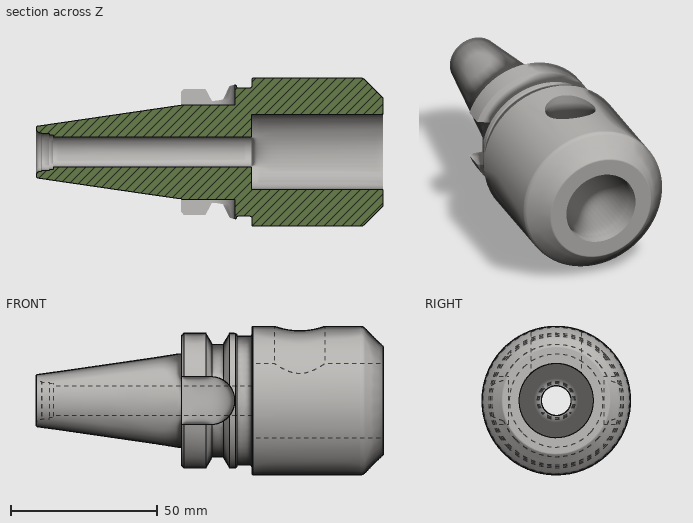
import cadquery as cq
import math

total_length = 118.6
flange_start = 49.6
flange_end = 68.6
body_start = 73.7

taper_end = 48.6
taper_big_radius = 31.9 / 2
taper_half_slope = 3.5 / 24
tip_rounding = 0.7

flange_radius = 23.0
flange_front_chamfer = 1.0
flange_rear_chamfer = 0.5
groove_radius = 19.2
groove_floor_start = 60.2
groove_floor_end = 64.0
groove_flank_angle = 30.0

neck_radius = 44.0 / 2
neck_fillet = 0.6
flange_fillet = 0.4
body_radius = 50.8 / 2
body_rear_chamfer = 0.4
nose_chamfer = 7.0
nose_blend_radius = 2.0
nose_edge_radius = 0.7

slot_width = 16.4
slot_floor_offset = 16.3
slot_end = 67.9

through_radius = 10.1 / 2
pilot_radius = 12.5 / 2
pilot_depth = 4.5
inner_step_radius = 5.8
inner_step_depth = 5.9
mouth_radius = 13.0 / 2
mouth_depth = 1.8
mouth_rounding = 1.4
shank_bore_radius = 25.4 / 2
screw_hole_radius = 17.3 / 2
screw_hole_x = 90.0


def cylinder(start, end, radius):
    """Cylinder on the X axis."""
    return cq.Workplane("YZ").workplane(offset=start).circle(radius).extrude(end - start)


def make_taper():
    """Tapered shank with a rounded tip and a short straight collar."""
    tip_radius = taper_big_radius - taper_end * taper_half_slope
    shoulder_radius = tip_radius + tip_rounding * taper_half_slope
    return (
        cq.Workplane("XY")
        .moveTo(0, 0)
        .lineTo(0, shoulder_radius - tip_rounding)
        .radiusArc((tip_rounding, shoulder_radius), tip_rounding)
        .lineTo(taper_end, taper_big_radius)
        .lineTo(flange_start, taper_big_radius)
        .lineTo(flange_start, 0)
        .close()
        .revolve(360, (0, 0, 0), (1, 0, 0))
    )


def make_flange():
    """Flange turned with a V-groove around its rim."""
    flank_run = (flange_radius - groove_radius) * math.tan(math.radians(groove_flank_angle))
    return (
        cq.Workplane("XY")
        .moveTo(flange_start, 0)
        .lineTo(flange_start, flange_radius - flange_front_chamfer)
        .lineTo(flange_start + flange_front_chamfer, flange_radius)
        .lineTo(groove_floor_start - flank_run, flange_radius)
        .lineTo(groove_floor_start, groove_radius)
        .lineTo(groove_floor_end, groove_radius)
        .lineTo(groove_floor_end + flank_run, flange_radius)
        .lineTo(flange_end - flange_rear_chamfer, flange_radius)
        .lineTo(flange_end, flange_radius - flange_rear_chamfer)
        .lineTo(flange_end, 0)
        .close()
        .revolve(360, (0, 0, 0), (1, 0, 0))
    )


def make_neck():
    """Neck joined to the flange and the body by fillets."""
    return (
        cq.Workplane("XY")
        .moveTo(flange_end, 0)
        .lineTo(flange_end, neck_radius + flange_fillet)
        .radiusArc((flange_end + flange_fillet, neck_radius), -flange_fillet)
        .lineTo(body_start - neck_fillet, neck_radius)
        .radiusArc((body_start, neck_radius + neck_fillet), -neck_fillet)
        .lineTo(body_start, 0)
        .close()
        .revolve(360, (0, 0, 0), (1, 0, 0))
    )


def make_body():
    """Body with a broken rear edge and a rounded 45-degree nose."""
    body = cylinder(body_start, total_length, body_radius)
    body = body.faces("<X").chamfer(body_rear_chamfer)
    body = body.faces(">X").chamfer(nose_chamfer)
    nose_corner_x = total_length - nose_chamfer
    nose_blend_edge = cq.selectors.BoxSelector(
        (nose_corner_x - nose_edge_radius, -2 * body_radius, -2 * body_radius),
        (nose_corner_x + nose_edge_radius, 2 * body_radius, 2 * body_radius),
        boundingbox=True,
    )
    body = body.edges(nose_blend_edge).fillet(nose_blend_radius)
    return body.faces(">X").edges().fillet(nose_edge_radius)


def make_drive_slot(side):
    """Round-ended slot cutter on the +Y (side = 1) or -Y (side = -1) flank."""
    end_radius = slot_width / 2
    end_centre = slot_end - end_radius
    return (
        cq.Workplane("XZ", origin=(0, side * slot_floor_offset, 0))
        .moveTo(flange_start, -end_radius)
        .lineTo(end_centre, -end_radius)
        .threePointArc((slot_end, 0), (end_centre, end_radius))
        .lineTo(flange_start, end_radius)
        .close()
        .extrude(-side * body_radius)
    )


def make_bores():
    """Stepped axial bore: rounded mouth and pilot at the taper tip, shank bore in the body."""
    return (
        cq.Workplane("XY")
        .moveTo(0, 0)
        .lineTo(0, mouth_radius + mouth_rounding)
        .radiusArc((mouth_rounding, mouth_radius), -mouth_rounding)
        .lineTo(mouth_depth, mouth_radius)
        .lineTo(mouth_depth + mouth_radius - pilot_radius, pilot_radius)
        .lineTo(pilot_depth, pilot_radius)
        .lineTo(pilot_depth, inner_step_radius)
        .lineTo(inner_step_depth, inner_step_radius)
        .lineTo(inner_step_depth, through_radius)
        .lineTo(body_start, through_radius)
        .lineTo(body_start, shank_bore_radius)
        .lineTo(total_length, shank_bore_radius)
        .lineTo(total_length, 0)
        .close()
        .revolve(360, (0, 0, 0), (1, 0, 0))
    )


def make_screw_hole():
    """Clamp screw hole from the top of the body into the shank bore."""
    return cq.Workplane("XY").center(screw_hole_x, 0).circle(screw_hole_radius).extrude(body_radius)


result = make_taper().union(make_flange()).union(make_neck()).union(make_body())
for slot_side in (1, -1):
    result = result.cut(make_drive_slot(slot_side))
result = result.cut(make_bores()).cut(make_screw_hole())